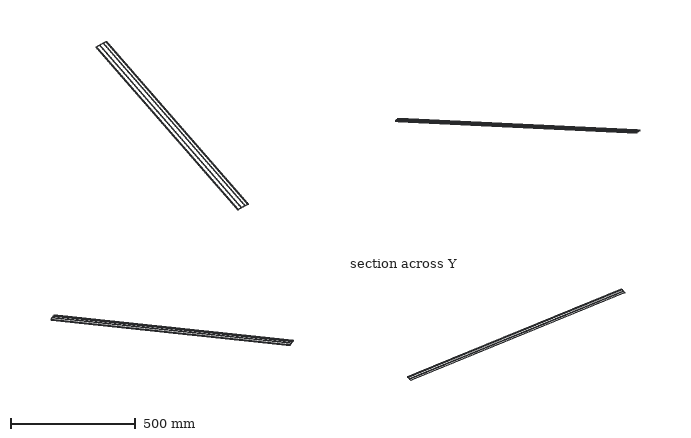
import cadquery as cq
import math

length = 1000.0
width = 51.4
height = 6.05

web_top = 4.2
web_thickness = 1.1
leg_thickness = 1.2
corner_radius = 1.5
foot_chamfer = 0.2

barb_reach = 2.0
barb_top = 2.5
barb_tip_height = 1.5
foot_width = 1.0

rib_width = 1.0
rib_offset = 8.8

half_width = width / 2
web_bottom = web_top - web_thickness
leg_inner = half_width - leg_thickness


def make_web_and_legs():
    """Half cross-section (web, rounded corner, leg, barb) extruded and mirrored about Y = 0."""
    arc_center_y = half_width - corner_radius
    arc_center_z = web_top - corner_radius
    arc_mid_offset = corner_radius * math.sqrt(0.5)

    half = (
        cq.Workplane("YZ")
        .moveTo(0, web_bottom)
        .lineTo(leg_inner, web_bottom)
        .lineTo(leg_inner, barb_top)
        .lineTo(leg_inner - barb_reach, barb_tip_height)
        .lineTo(half_width - foot_width, 0)
        .lineTo(half_width - foot_chamfer, 0)
        .lineTo(half_width, foot_chamfer)
        .lineTo(half_width, arc_center_z)
        .threePointArc(
            (arc_center_y + arc_mid_offset, arc_center_z + arc_mid_offset),
            (arc_center_y, web_top),
        )
        .lineTo(0, web_top)
        .close()
        .extrude(length / 2, both=True)
    )
    return half.union(half.mirror("XZ")).clean()


def make_rib(y_center):
    """Upright rib with a half-round crest, rooted inside the web."""
    rib_radius = rib_width / 2
    root = (web_top + web_bottom) / 2
    shoulder = height - rib_radius
    return (
        cq.Workplane("YZ")
        .moveTo(y_center - rib_radius, root)
        .lineTo(y_center + rib_radius, root)
        .lineTo(y_center + rib_radius, shoulder)
        .threePointArc((y_center, height), (y_center - rib_radius, shoulder))
        .close()
        .extrude(length / 2, both=True)
    )


result = make_web_and_legs()
for side in (-1, 1):
    result = result.union(make_rib(side * rib_offset))